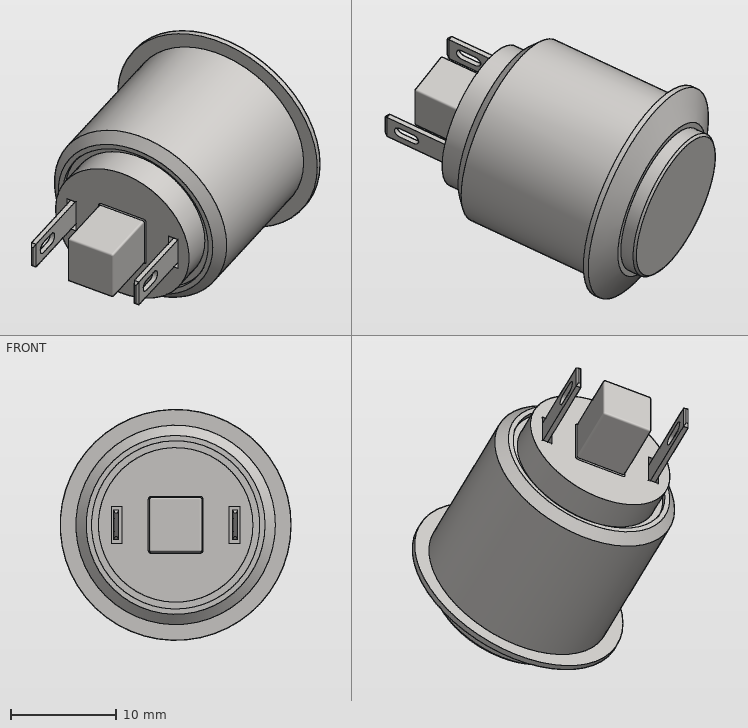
import cadquery as cq


OVERALL_LENGTH = 28.9

FLANGE_DIA = 22.0
FLANGE_RIM = 0.55
FLANGE_HEIGHT = 2.02
FLANGE_TOP_DIA = 16.0
BARREL_DIA = 19.0
BARREL_LENGTH = 15.5
BARREL_CHAMFER_LENGTH = 0.95
BARREL_END_DIA = 17.02
RECESS_DIA = 16.0
RECESS_DEPTH = 0.5

BUTTON_DIA = 14.9
BUTTON_HEIGHT = 1.6
BUTTON_CHAMFER = 0.23
CORE_DIA = 14.7
CORE_PROTRUSION = 2.49
CORE_END_Y = -BARREL_LENGTH - CORE_PROTRUSION
BUTTON_END_Y = FLANGE_HEIGHT + BUTTON_HEIGHT

BLOCK_WIDTH = 5.0
BLOCK_HEIGHT = 5.2
BLOCK_LENGTH = 6.07
BLOCK_ROUNDING = 0.2
FOOT_FLARE = 0.12
FOOT_ANGLE = 45

TERMINAL_X = 5.65
TERMINAL_THICKNESS = 0.5
TERMINAL_WIDTH = 2.8
TERMINAL_LENGTH = OVERALL_LENGTH - (BUTTON_END_Y - CORE_END_Y)
TIP_LENGTH = 0.3
TIP_SIDE_TAPER = 0.15
TIP_EDGE_TAPER = 0.3
SLOT_WIDTH = 1.2
SLOT_LENGTH = 2.7
SLOT_TIP_DISTANCE = 1.13
POCKET_X = 5.6
POCKET_WIDTH = 1.0
POCKET_HEIGHT = 3.53
POCKET_DEPTH = 1.0


def revolve_about_y(profile):
    """Revolve a list of (radius, y) points about the Y axis."""
    return cq.Workplane("XY").polyline(profile).close().revolve(360, (0, 0, 0), (0, 1, 0))


def centred_box(width, length, height, x, rear_y):
    """Box centred on x and on Z = 0, running forward from rear_y."""
    return cq.Workplane("XY").box(width, length, height).translate((x, rear_y + length / 2, 0))


def make_shell():
    """Flanged barrel, bored to fit the insert, with an annular recess at the rear."""
    bore_radius = CORE_DIA / 2
    return revolve_about_y([
        (BUTTON_DIA / 2, FLANGE_HEIGHT),
        (FLANGE_TOP_DIA / 2, FLANGE_HEIGHT),
        (FLANGE_DIA / 2, FLANGE_RIM),
        (FLANGE_DIA / 2, 0),
        (BARREL_DIA / 2, 0),
        (BARREL_DIA / 2, BARREL_CHAMFER_LENGTH - BARREL_LENGTH),
        (BARREL_END_DIA / 2, -BARREL_LENGTH),
        (RECESS_DIA / 2, -BARREL_LENGTH),
        (RECESS_DIA / 2, RECESS_DEPTH - BARREL_LENGTH),
        (bore_radius, RECESS_DEPTH - BARREL_LENGTH),
        (bore_radius, 0),
        (BUTTON_DIA / 2, 0),
    ])


def make_block():
    """Rectangular block with rounded edges, flaring out at its foot on the core face."""
    foot_start_y = CORE_END_Y - FOOT_FLARE
    shaft_length = BLOCK_LENGTH - FOOT_FLARE
    block = centred_box(BLOCK_WIDTH, shaft_length, BLOCK_HEIGHT, 0, CORE_END_Y - BLOCK_LENGTH)
    block = block.edges("|Y").fillet(BLOCK_ROUNDING).faces("<Y").edges().fillet(BLOCK_ROUNDING)
    section = cq.Sketch().rect(BLOCK_WIDTH, BLOCK_HEIGHT).vertices().fillet(BLOCK_ROUNDING)
    foot = (
        cq.Workplane("XZ", origin=(0, foot_start_y, 0))
        .placeSketch(section)
        .extrude(-FOOT_FLARE, taper=-FOOT_ANGLE)
    )
    return block.union(foot)


def make_terminal(x):
    """Flat blade with a tapered tip and a solder slot, rooted on the pocket floor."""
    tip_y = CORE_END_Y - TERMINAL_LENGTH
    blade_length = TERMINAL_LENGTH - TIP_LENGTH + POCKET_DEPTH
    blade = centred_box(TERMINAL_THICKNESS, blade_length, TERMINAL_WIDTH, x, tip_y + TIP_LENGTH)
    tip = (
        cq.Workplane("XZ", origin=(x, tip_y + TIP_LENGTH, 0))
        .rect(TERMINAL_THICKNESS, TERMINAL_WIDTH)
        .workplane(offset=TIP_LENGTH)
        .rect(TERMINAL_THICKNESS - 2 * TIP_SIDE_TAPER, TERMINAL_WIDTH - 2 * TIP_EDGE_TAPER)
        .loft(ruled=True)
    )
    slot_y = tip_y + SLOT_TIP_DISTANCE + SLOT_LENGTH / 2
    slot = (
        cq.Workplane("YZ", origin=(x, slot_y, 0))
        .slot2D(SLOT_LENGTH, SLOT_WIDTH)
        .extrude(TERMINAL_THICKNESS, both=True)
    )
    return blade.union(tip).cut(slot)


def make_insert():
    """Button and core in one piece, with the rear block and both terminals."""
    insert = revolve_about_y([
        (0, BUTTON_END_Y),
        (BUTTON_DIA / 2 - BUTTON_CHAMFER, BUTTON_END_Y),
        (BUTTON_DIA / 2, BUTTON_END_Y - BUTTON_CHAMFER),
        (BUTTON_DIA / 2, 0),
        (CORE_DIA / 2, 0),
        (CORE_DIA / 2, CORE_END_Y),
        (0, CORE_END_Y),
    ])
    insert = insert.union(make_block())
    for side in (-1, 1):
        pocket = centred_box(POCKET_WIDTH, POCKET_DEPTH, POCKET_HEIGHT, side * POCKET_X, CORE_END_Y)
        insert = insert.cut(pocket).union(make_terminal(side * TERMINAL_X))
    return insert


shell = make_shell()
insert = make_insert()
result = cq.Compound.makeCompound([shell.val(), insert.val()])